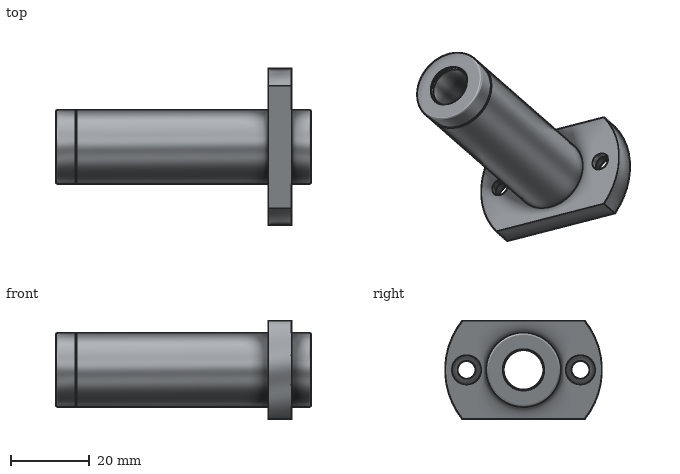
import cadquery as cq

length = 65.0
sleeve_diameter = 19.0
end_rounding = 0.6

bore_diameter = 10.0
mouth_diameter = 10.6
mouth_depth = 0.65
inner_groove_diameter = 11.2
inner_groove_width = 0.4

groove_start = 5.0
groove_width = 0.3

flange_diameter = 40.0
flange_height = 25.0
flange_thickness = 6.0
flange_start = 54.0

hole_diameter = 4.5
hole_spacing = 29.0
head_diameter = 7.5
head_depth = 4.1


def cylinder(diameter, start, depth, y=0.0):
    """Solid cylinder along +X, beginning at X = start."""
    return cq.Workplane("YZ", origin=(start, y, 0)).circle(diameter / 2).extrude(depth)


def make_sleeve():
    sleeve = cylinder(sleeve_diameter, 0, length).faces("<X or >X").edges().fillet(end_rounding)
    groove_middle = groove_start + groove_width / 2
    ring = (
        cq.Workplane("XY")
        .center(groove_middle, sleeve_diameter / 2)
        .circle(groove_width / 2)
        .revolve(360, (0, -sleeve_diameter / 2), (1, -sleeve_diameter / 2))
    )
    return sleeve.cut(ring)


def make_flange():
    disc = cylinder(flange_diameter, flange_start, flange_thickness)
    between_flats = cq.Workplane("XY").box(3 * length, flange_diameter, flange_height)
    return disc.intersect(between_flats)


def make_bore():
    """Solid filling the bore, both mouths and both inner grooves."""
    left_mouth = cylinder(mouth_diameter, 0, mouth_depth)
    left_groove = cylinder(inner_groove_diameter, mouth_depth, inner_groove_width)
    left_end = left_mouth.union(left_groove)
    right_end = left_end.mirror("YZ").translate((length, 0, 0))
    return cylinder(bore_diameter, 0, length).union(left_end).union(right_end)


def make_mounting_hole(y):
    head_start = flange_start + flange_thickness - head_depth
    shank = cylinder(hole_diameter, flange_start, flange_thickness, y)
    return shank.union(cylinder(head_diameter, head_start, head_depth, y))


result = make_sleeve().union(make_flange()).cut(make_bore())
for side in (-1, 1):
    result = result.cut(make_mounting_hole(side * hole_spacing / 2))